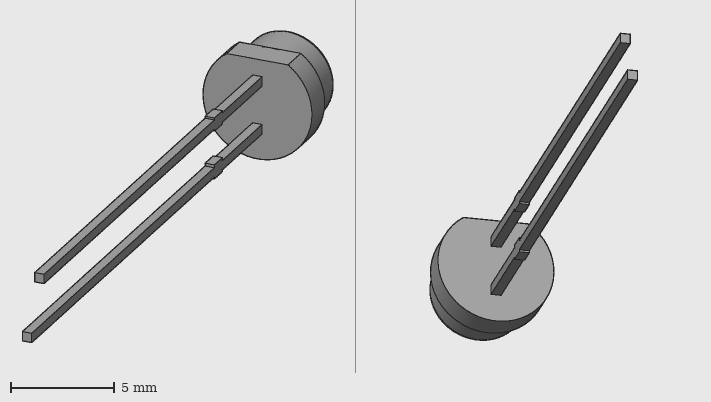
import cadquery as cq


flange_diameter = 5.8
flange_thickness = 1.5
flat_height = 2.4

lens_diameter = 2 * flat_height
lens_cylinder_length = 2.1
dome_base_diameter = 4.7
dome_height = 1.2

lead_side = 0.5
lead_pitch = 2.54
long_lead_length = 27.05
lead_length_difference = 1.45
short_lead_length = long_lead_length - lead_length_difference

stop_distance = 4.65
stop_length = 0.95
stop_step = 0.1
lower_stop_inner_step = 0.15

shoulder_y = flange_thickness + lens_cylinder_length


def make_flange():
    """Disc with its upper edge cut off flat."""
    radius = flange_diameter / 2
    disc = cq.Workplane("XZ").circle(radius).extrude(-flange_thickness)
    keep = cq.Workplane("XY").box(
        flange_diameter, flange_thickness, radius + flat_height, centered=(True, False, False)
    )
    return disc.intersect(keep.translate((0, 0, -radius)))


def make_lens():
    """Cylinder and dome, revolved about Y, with a narrow ledge around the dome."""
    lens_radius = lens_diameter / 2
    base_radius = dome_base_diameter / 2
    dome_radius = (base_radius**2 + dome_height**2) / (2 * dome_height)
    dome_centre_y = shoulder_y + dome_height - dome_radius
    mid_z = base_radius / 2
    mid_y = dome_centre_y + (dome_radius**2 - mid_z**2) ** 0.5
    return (
        cq.Workplane("YZ")
        .lineTo(0, lens_radius)
        .lineTo(shoulder_y, lens_radius)
        .lineTo(shoulder_y, base_radius)
        .threePointArc((mid_y, mid_z), (shoulder_y + dome_height, 0))
        .close()
        .revolve(360, (0, 0, 0), (1, 0, 0))
    )


def make_bar(near_y, length, bottom_z, top_z):
    """Bar of the lead's width running toward -Y from near_y."""
    bar = cq.Workplane("XY").box(lead_side, length, top_z - bottom_z, centered=(True, False, False))
    return bar.translate((0, near_y - length, bottom_z))


def make_lead(centre_z, length, step_below, step_above):
    """Square lead with its stop bump."""
    bottom_z = centre_z - lead_side / 2
    top_z = centre_z + lead_side / 2
    lead = make_bar(0, length, bottom_z, top_z)
    stop = make_bar(-stop_distance, stop_length, bottom_z - step_below, top_z + step_above)
    return lead.union(stop)


upper_lead = make_lead(lead_pitch / 2, short_lead_length, stop_step, stop_step)
lower_lead = make_lead(-lead_pitch / 2, long_lead_length, stop_step, lower_stop_inner_step)

result = make_flange().union(make_lens()).union(upper_lead).union(lower_lead)